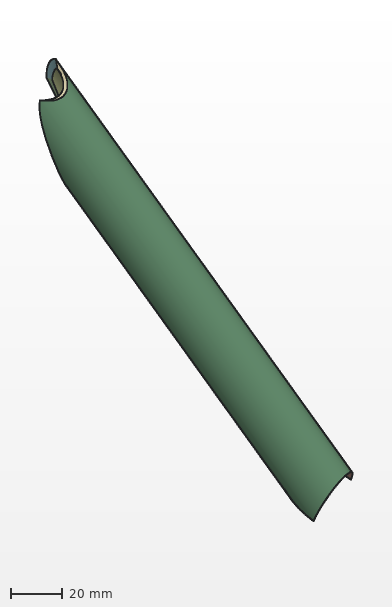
import cadquery as cq

tube_radius = 12.8
wall = 1.7
top_joint = cq.Vector(0, 0, 0)
bottom_joint = cq.Vector(89.5, 84.9, -186.0)

cross_radius = 12.8
cross_direction = cq.Vector(1, 0, 0)
post_radius = 15.6
post_direction = cq.Vector(0, 0.15, -1)
brace_radius = 12.0
brace_direction = cq.Vector(0.05, 0.39, -1)

end_overrun = 38
cutter_length = 304.5


def rod(center, direction, length, radius):
    """Solid cylinder centred on a point and running along a direction."""
    start = center - direction.normalized() * (length / 2)
    return cq.Workplane(cq.Solid.makeCylinder(radius, length, start, direction))


def straight_tube():
    """Square-ended tube reaching a little past both joints."""
    axis = bottom_joint - top_joint
    middle = (top_joint + bottom_joint) * 0.5
    length = axis.Length + 2 * end_overrun
    bore = rod(middle, axis, length, tube_radius - wall)
    return rod(middle, axis, length, tube_radius).cut(bore)


def cope(tube, joint, direction, radius):
    """Notch the tube to fit around a neighbour passing through the joint."""
    return tube.cut(rod(joint, direction, cutter_length, radius))


tube = straight_tube()
tube = cope(tube, bottom_joint, cross_direction, cross_radius)
tube = cope(tube, top_joint, cross_direction, cross_radius)
tube = cope(tube, top_joint, post_direction, post_radius)
tube = cope(tube, top_joint, brace_direction, brace_radius)

result = cq.Workplane(max(tube.solids().vals(), key=lambda piece: piece.Volume()))